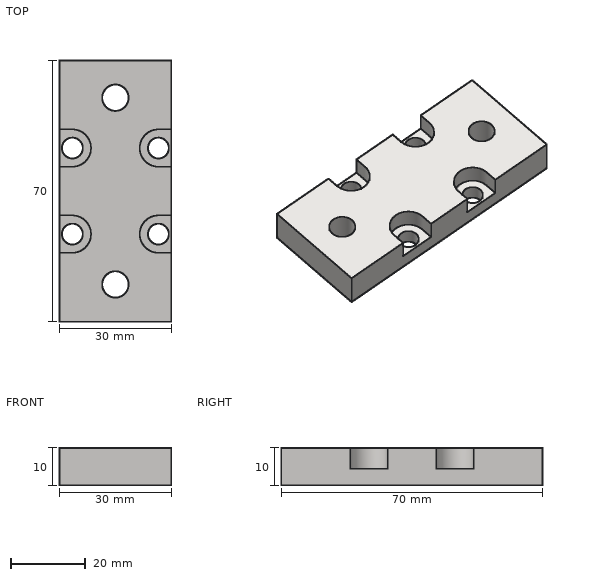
import cadquery as cq

length = 70.0
width = 30.0
thickness = 10.0

end_hole_diameter = 7.0
end_hole_spacing = 50.0

screw_hole_diameter = 5.5
screw_hole_spacing = 23.0
pocket_width = 10.0
pocket_depth = 5.5


def open_pocket(side, y):
    """Round-ended pocket that runs out through the side at +X (1) or -X (-1)."""
    radius = pocket_width / 2
    center_x = side * screw_hole_spacing / 2
    edge_x = side * width / 2
    return (
        cq.Workplane("XY", origin=(0, 0, thickness - pocket_depth))
        .moveTo(edge_x, y - radius)
        .lineTo(center_x, y - radius)
        .threePointArc((center_x - side * radius, y), (center_x, y + radius))
        .lineTo(edge_x, y + radius)
        .close()
        .extrude(pocket_depth)
    )


plate = cq.Workplane("XY").box(length=width, width=length, height=thickness, centered=(True, True, False))

plate = (
    plate.faces(">Z").workplane(origin=(0, 0, thickness))
    .rarray(0.7, end_hole_spacing, 1, 2)
    .hole(end_hole_diameter)
)

plate = (
    plate.faces(">Z").workplane(origin=(0, 0, thickness))
    .rarray(screw_hole_spacing, screw_hole_spacing, 2, 2)
    .hole(screw_hole_diameter)
)

for side in (-1, 1):
    for y in (-screw_hole_spacing / 2, screw_hole_spacing / 2):
        plate = plate.cut(open_pocket(side, y))

result = plate